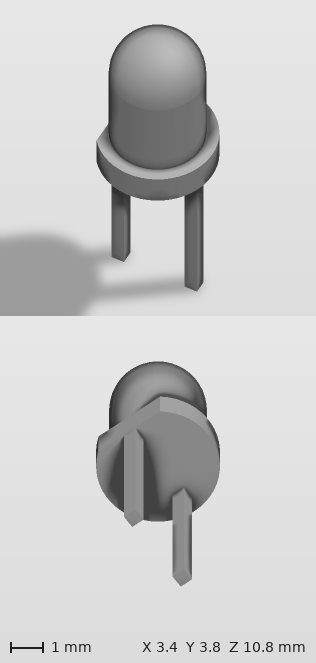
import cadquery as cq

lens_diameter = 3.0
lens_radius = lens_diameter / 2
body_top = 3.8
flange_diameter = 3.8
flange_height = 1.0
flat_offset = lens_radius
lead_pitch = 2.54
lead_width = 0.43
lead_length = 5.5


def make_lens():
    """Cylinder standing on the flange, capped by a hemisphere."""
    cylinder = (
        cq.Workplane("XY", origin=(0, 0, flange_height))
        .circle(lens_radius)
        .extrude(body_top - flange_height)
    )
    dome = (
        cq.Workplane("XZ", origin=(0, 0, body_top))
        .lineTo(lens_radius, 0)
        .radiusArc((0, lens_radius), -lens_radius)
        .close()
        .revolve(360, (0, 0), (0, 1))
    )
    return cylinder.union(dome)


def make_flange():
    """Disc cut off by a flat on its -X side."""
    disc = cq.Workplane("XY").circle(flange_diameter / 2).extrude(flange_height)
    kept_region = cq.Workplane("XY", origin=(-flat_offset, 0, 0)).box(
        flange_diameter, flange_diameter, flange_height, centered=(False, True, False)
    )
    return disc.intersect(kept_region)


def make_leads():
    """Two square leads hanging below the flange, side by side along X."""
    return (
        cq.Workplane("XY")
        .pushPoints([(-lead_pitch / 2, 0), (lead_pitch / 2, 0)])
        .rect(lead_width, lead_width)
        .extrude(-lead_length)
    )


result = make_flange().union(make_lens()).union(make_leads())